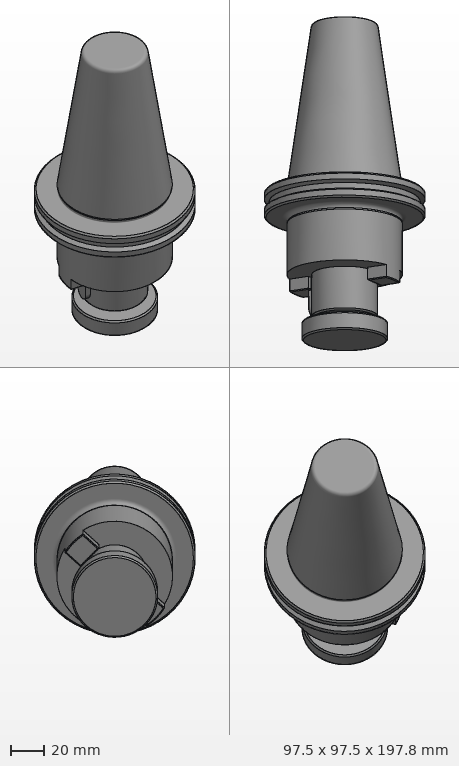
import cadquery as cq

TAPER_RATIO = 7 / 24
GAUGE_RADIUS = 69.85 / 2
SHANK_LENGTH = 101.75
SHANK_TOP_RADIUS = GAUGE_RADIUS - SHANK_LENGTH * TAPER_RATIO / 2
SHANK_TOP_FILLET = 2.5

RELIEF_RADIUS = 34.5
RELIEF_TAPER_HEIGHT = 1.2
RELIEF_FILLET = 0.4

FLANGE_RADIUS = 97.5 / 2
FLANGE_TOP = -3.2
FLANGE_BOTTOM = -19.1
FLANGE_CHAMFER = 1.1
GROOVE_CENTER = -11.1
GROOVE_ROOT_RADIUS = 91.5 / 2
GROOVE_ROOT_WIDTH = 3.5
GROOVE_MOUTH_WIDTH = 6.4

BODY_RADIUS = 35.0
BODY_TOP = -23.1
BODY_BOTTOM = -55.0
BODY_NECK_RADIUS = 34.6
BODY_NECK_FILLET = 3.0

SPIGOT_RADIUS = 20.0
SPIGOT_LENGTH = 27.0
SPIGOT_BOTTOM = BODY_BOTTOM - SPIGOT_LENGTH
SPIGOT_CHAMFER = 1.0
NECK_RADIUS = 10.0
HEAD_RADIUS = 26.0
HEAD_TOP = -84.7
HEAD_BOTTOM = -96.0
HEAD_CHAMFER = 1.0

TENON_WIDTH = 16.0
TENON_HEIGHT = 8.0
TENON_INNER_DISTANCE = 20.8
TENON_CHAMFER = 0.6

KEY_WIDTH = 10.0
KEY_OUTER_DISTANCE = 22.5
KEY_INNER_DISTANCE = 15.0
KEY_LENGTH = 23.4


def make_turned_body():
    """Revolve the shank, flange, body, spigot and screw about Z."""
    groove_root_top = GROOVE_CENTER + GROOVE_ROOT_WIDTH / 2
    groove_root_bottom = GROOVE_CENTER - GROOVE_ROOT_WIDTH / 2
    groove_mouth_top = GROOVE_CENTER + GROOVE_MOUTH_WIDTH / 2
    groove_mouth_bottom = GROOVE_CENTER - GROOVE_MOUTH_WIDTH / 2
    profile = (
        cq.Workplane("XZ")
        .moveTo(0, SHANK_LENGTH)
        .lineTo(SHANK_TOP_RADIUS, SHANK_LENGTH)
        .lineTo(GAUGE_RADIUS, 0)
        .lineTo(RELIEF_RADIUS, -RELIEF_TAPER_HEIGHT)
        .lineTo(RELIEF_RADIUS, FLANGE_TOP + RELIEF_FILLET)
        .radiusArc((RELIEF_RADIUS + RELIEF_FILLET, FLANGE_TOP), -RELIEF_FILLET)
        .lineTo(FLANGE_RADIUS - FLANGE_CHAMFER, FLANGE_TOP)
        .lineTo(FLANGE_RADIUS, FLANGE_TOP - FLANGE_CHAMFER)
        .lineTo(FLANGE_RADIUS, groove_mouth_top)
        .lineTo(GROOVE_ROOT_RADIUS, groove_root_top)
        .lineTo(GROOVE_ROOT_RADIUS, groove_root_bottom)
        .lineTo(FLANGE_RADIUS, groove_mouth_bottom)
        .lineTo(FLANGE_RADIUS, FLANGE_BOTTOM + FLANGE_CHAMFER)
        .lineTo(FLANGE_RADIUS - FLANGE_CHAMFER, FLANGE_BOTTOM)
        .lineTo(BODY_NECK_RADIUS + BODY_NECK_FILLET, FLANGE_BOTTOM)
        .radiusArc((BODY_NECK_RADIUS, FLANGE_BOTTOM - BODY_NECK_FILLET), -BODY_NECK_FILLET)
        .lineTo(BODY_RADIUS, BODY_TOP)
        .lineTo(BODY_RADIUS, BODY_BOTTOM)
        .lineTo(SPIGOT_RADIUS, BODY_BOTTOM)
        .lineTo(SPIGOT_RADIUS, SPIGOT_BOTTOM + SPIGOT_CHAMFER)
        .lineTo(SPIGOT_RADIUS - SPIGOT_CHAMFER, SPIGOT_BOTTOM)
        .lineTo(NECK_RADIUS, SPIGOT_BOTTOM)
        .lineTo(NECK_RADIUS, HEAD_TOP)
        .lineTo(HEAD_RADIUS - HEAD_CHAMFER, HEAD_TOP)
        .lineTo(HEAD_RADIUS, HEAD_TOP - HEAD_CHAMFER)
        .lineTo(HEAD_RADIUS, HEAD_BOTTOM + HEAD_CHAMFER)
        .lineTo(HEAD_RADIUS - HEAD_CHAMFER, HEAD_BOTTOM)
        .lineTo(0, HEAD_BOTTOM)
        .close()
    )
    turned = profile.revolve(360, (0, 0, 0), (0, 1, 0))
    return turned.faces(">Z").edges().fillet(SHANK_TOP_FILLET)


def make_tenon(side):
    """Drive tenon on the given Y side (-1 or +1), rounded to the body on the outside."""
    tenon_depth = BODY_RADIUS - TENON_INNER_DISTANCE
    block = cq.Workplane("XY").box(TENON_WIDTH, tenon_depth, TENON_HEIGHT)
    block = block.translate((
        0,
        side * (TENON_INNER_DISTANCE + tenon_depth / 2),
        BODY_BOTTOM - TENON_HEIGHT / 2,
    ))
    envelope = (
        cq.Workplane("XY")
        .workplane(offset=BODY_BOTTOM - TENON_HEIGHT)
        .circle(BODY_RADIUS)
        .extrude(TENON_HEIGHT)
    )
    return block.intersect(envelope).faces("<Z").edges().chamfer(TENON_CHAMFER)


def make_key():
    """Feather key standing out of the spigot, with a round lower end."""
    key_radius = KEY_WIDTH / 2
    round_start = BODY_BOTTOM - KEY_LENGTH + key_radius
    return (
        cq.Workplane("XZ", origin=(0, -KEY_INNER_DISTANCE, 0))
        .moveTo(-key_radius, BODY_BOTTOM)
        .lineTo(-key_radius, round_start)
        .threePointArc((0, BODY_BOTTOM - KEY_LENGTH), (key_radius, round_start))
        .lineTo(key_radius, BODY_BOTTOM)
        .close()
        .extrude(KEY_OUTER_DISTANCE - KEY_INNER_DISTANCE)
    )


result = make_turned_body()
for tenon_side in (-1, 1):
    result = result.union(make_tenon(tenon_side))
result = result.union(make_key())